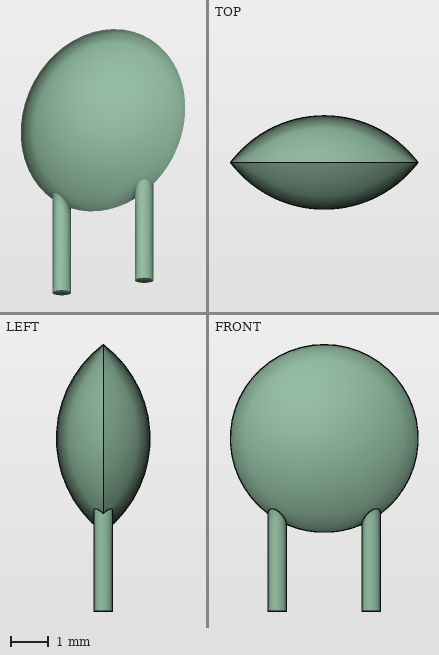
import cadquery as cq

overall_height = 7.1
disc_diameter = 5.0
disc_thickness = 2.5
lead_diameter = 0.5
lead_spacing = 2.5

disc_radius = disc_diameter / 2
cap_height = disc_thickness / 2
lead_length = overall_height - disc_radius


def lens_body():
    """Two equal spherical caps meeting at a sharp rim, with their axis along Y."""
    sphere_radius = (disc_radius**2 + cap_height**2) / (2 * cap_height)
    centre_offset = sphere_radius - cap_height
    front = cq.Workplane("XY").sphere(sphere_radius).translate((0, centre_offset, 0))
    back = cq.Workplane("XY").sphere(sphere_radius).translate((0, -centre_offset, 0))
    return front.intersect(back)


def leads():
    """Two parallel round wires, rooted inside the body and pointing down."""
    return (
        cq.Workplane("XY")
        .pushPoints([(-lead_spacing / 2, 0), (lead_spacing / 2, 0)])
        .circle(lead_diameter / 2)
        .extrude(-lead_length)
    )


result = lens_body().union(leads())